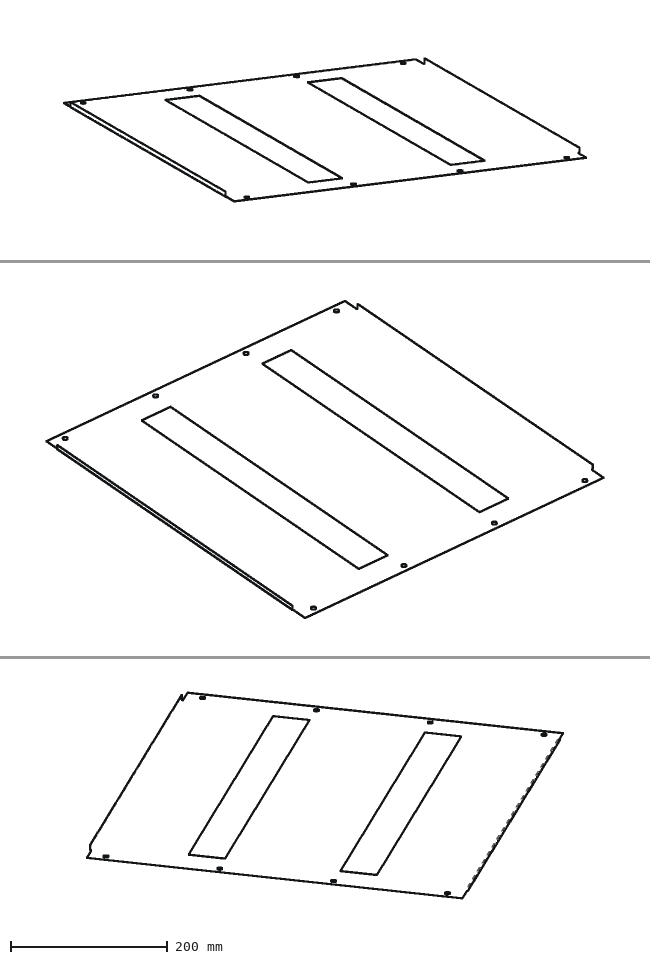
import cadquery as cq

length = 517.0
depth = 499.0
height = 8.0
thickness = 1.0

flange_length = 470.0
bend_inner_radius = 1.0
bend_outer_radius = bend_inner_radius + thickness

plate_depth = depth - 2 * bend_outer_radius

window_length = 434.5
window_width = 48.0
window_spacing = 200.0

hole_diameter = 6.5
hole_column_spacing = 496.5
hole_pitch = 150.0
holes_per_column = 4


def make_plate():
    return cq.Workplane("XY").box(length, plate_depth, thickness, centered=(True, True, False))


def make_flange():
    """Back flange: a quarter-round bend followed by an upright lip."""
    bend_start = plate_depth / 2
    outer_face = depth / 2
    inner_face = outer_face - thickness
    return (
        cq.Workplane("YZ")
        .moveTo(bend_start, 0)
        .radiusArc((outer_face, bend_outer_radius), -bend_outer_radius)
        .lineTo(outer_face, height)
        .lineTo(inner_face, height)
        .lineTo(inner_face, bend_outer_radius)
        .radiusArc((bend_start, thickness), bend_inner_radius)
        .close()
        .extrude(flange_length / 2, both=True)
    )


def make_windows():
    return (
        cq.Workplane("XY")
        .rarray(5, window_spacing, 1, 2)
        .rect(window_length, window_width)
        .extrude(thickness)
    )


def make_holes():
    return (
        cq.Workplane("XY")
        .rarray(hole_column_spacing, hole_pitch, 2, holes_per_column)
        .circle(hole_diameter / 2)
        .extrude(thickness)
    )


back_flange = make_flange()
front_flange = back_flange.mirror("XZ")
sheet = make_plate().union(back_flange).union(front_flange)
result = sheet.cut(make_windows()).cut(make_holes())